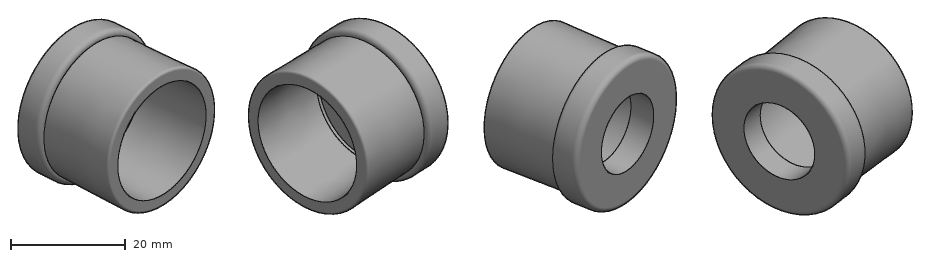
import cadquery as cq

total_length = 21.23
collar_length = 5.7

collar_diameter = 29.4
collar_hole_diameter = 15.0
collar_web_thickness = 5.0
collar_edge_radius = 1.0

sleeve_length = total_length - collar_length
sleeve_root_diameter = 27.02
sleeve_end_diameter = 27.52
sleeve_root_bore = 22.02
sleeve_end_bore = sleeve_root_bore + sleeve_end_diameter - sleeve_root_diameter
sleeve_edge_radius = 0.5


def make_cylinder(diameter, start, length):
    """Cylinder along +X from the plane x = start."""
    return cq.Workplane("YZ", origin=(start, 0, 0)).circle(diameter / 2).extrude(length)


def make_sleeve_cone(root_diameter, end_diameter):
    """Cone frustum along +X over the length of the sleeve."""
    frustum = cq.Solid.makeCone(
        root_diameter / 2,
        end_diameter / 2,
        sleeve_length,
        pnt=cq.Vector(collar_length, 0, 0),
        dir=cq.Vector(1, 0, 0),
    )
    return cq.Workplane(obj=frustum)


def make_collar():
    """Rounded ring with a through hole, recessed to the sleeve bore on its +X face."""
    disc = make_cylinder(collar_diameter, 0, collar_length)
    rounded = disc.edges().fillet(collar_edge_radius)
    hole = make_cylinder(collar_hole_diameter, 0, collar_length)
    recess_depth = collar_length - collar_web_thickness
    recess = make_cylinder(sleeve_root_bore, collar_web_thickness, recess_depth)
    return rounded.cut(hole).cut(recess)


def make_sleeve():
    """Flared tube with a rounded outer rim, seated on the collar's +X face."""
    flare = make_sleeve_cone(sleeve_root_diameter, sleeve_end_diameter)
    rounded = flare.faces(">X").edges().fillet(sleeve_edge_radius)
    bore = make_sleeve_cone(sleeve_root_bore, sleeve_end_bore)
    return rounded.cut(bore)


collar = make_collar()
sleeve = make_sleeve()

result = cq.Compound.makeCompound([collar.val(), sleeve.val()])